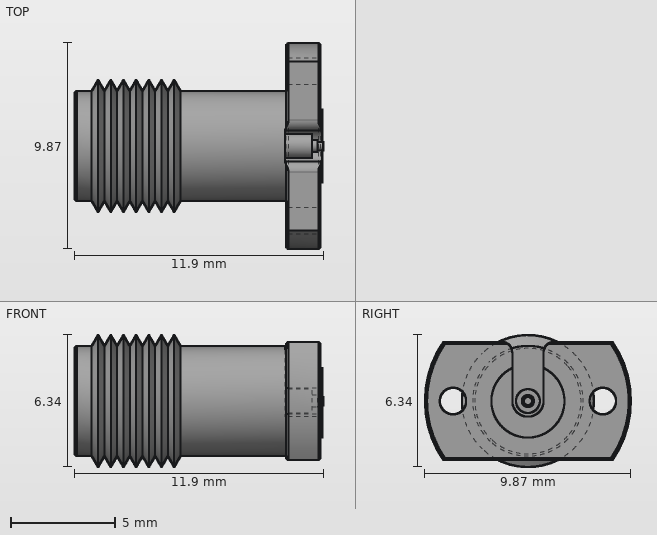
import cadquery as cq
import math

overall_length = 11.9

barrel_radius = 2.64
barrel_chamfer = 0.11
thread_start = 0.82
thread_pitch = 0.61
thread_ridges = 7
thread_radius = 3.17

flange_front = 10.13
flange_back = 11.77
flange_radius = 4.933
flange_height = 5.66
flange_chamfer = 0.11
hole_diameter = 1.26
hole_offset = 3.58

pad_radius = 1.75
pad_back = 11.85

slot_front = 10.08
slot_half_width = 0.75
slot_mouth_radius = 0.5

pin_steps = [(0.57, 11.36), (0.29, 11.61), (0.2, overall_length)]


def axial_cylinder(radius, start, end, y=0):
    """Cylinder parallel to X between two X positions."""
    return cq.Workplane("YZ", origin=(start, y, 0)).circle(radius).extrude(end - start)


def make_barrel():
    """Revolved barrel with a chamfered front and ring-shaped thread ridges."""
    profile = (
        cq.Workplane("XY")
        .lineTo(0, barrel_radius - barrel_chamfer)
        .lineTo(barrel_chamfer, barrel_radius)
        .lineTo(thread_start, barrel_radius)
    )
    for ridge in range(thread_ridges):
        root = thread_start + ridge * thread_pitch
        profile = profile.lineTo(root + thread_pitch / 2, thread_radius)
        profile = profile.lineTo(root + thread_pitch, barrel_radius)
    profile = profile.lineTo(flange_front, barrel_radius).lineTo(flange_front, 0).close()
    return profile.revolve(360, (0, 0, 0), (1, 0, 0))


def make_flange():
    """Flange with both outer rims chamfered and a mounting hole in each ear."""
    half_height = flange_height / 2
    corner_y = math.sqrt(flange_radius**2 - half_height**2)
    flange = (
        cq.Workplane("YZ", origin=(flange_front, 0, 0))
        .moveTo(-corner_y, half_height)
        .lineTo(corner_y, half_height)
        .threePointArc((flange_radius, 0), (corner_y, -half_height))
        .lineTo(-corner_y, -half_height)
        .threePointArc((-flange_radius, 0), (-corner_y, half_height))
        .close()
        .extrude(flange_back - flange_front)
        .faces("<X or >X")
        .chamfer(flange_chamfer)
    )
    for side in (-1, 1):
        hole = axial_cylinder(hole_diameter / 2, flange_front, flange_back, side * hole_offset)
        flange = flange.cut(hole)
    return flange


def make_slot():
    """Cutter for the slot, flared at its mouth to round the flange corners."""
    top = flange_height / 2
    shoulder = top - slot_mouth_radius
    mouth = slot_half_width + slot_mouth_radius
    bend = slot_mouth_radius * math.sqrt(0.5)
    return (
        cq.Workplane("YZ", origin=(slot_front, 0, 0))
        .moveTo(-slot_half_width, 0)
        .threePointArc((0, -slot_half_width), (slot_half_width, 0))
        .lineTo(slot_half_width, shoulder)
        .threePointArc((mouth - bend, shoulder + bend), (mouth, top))
        .lineTo(-mouth, top)
        .threePointArc((bend - mouth, shoulder + bend), (-slot_half_width, shoulder))
        .close()
        .extrude(overall_length - slot_front)
    )


result = make_barrel().union(make_flange())
result = result.union(axial_cylinder(pad_radius, flange_back, pad_back))
result = result.cut(make_slot())

step_start = slot_front
for step_radius, step_end in pin_steps:
    result = result.union(axial_cylinder(step_radius, step_start, step_end))
    step_start = step_end